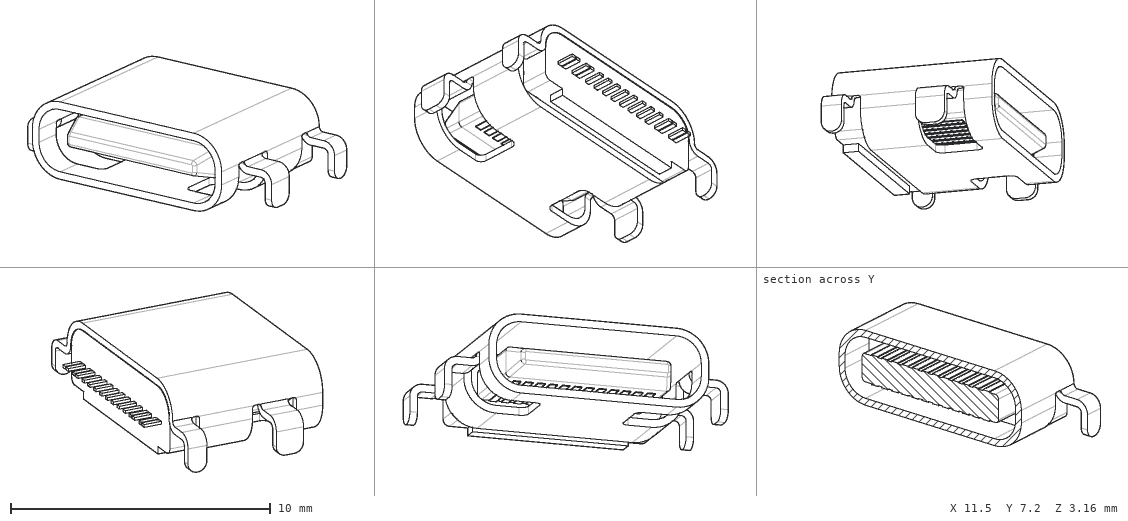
import cadquery as cq


SHELL_WIDTH = 8.94
SHELL_HEIGHT = 3.16
SHELL_DEPTH = 6.5
SHEET = 0.31
SHELL_RADIUS = 1.32
HALF_WIDTH = SHELL_WIDTH / 2
HALF_HEIGHT = SHELL_HEIGHT / 2
INNER_WIDTH = SHELL_WIDTH - 2 * SHEET
INNER_HEIGHT = SHELL_HEIGHT - 2 * SHEET
INNER_RADIUS = SHELL_RADIUS - SHEET

LEG_SPAN = 11.54
LEG_TOP = 0.09
LEG_BOTTOM = -1.45
LEG_END_RADIUS = 0.4
ROOT_BEND = 0.18
KNEE_BEND = 0.2
FRONT_LEG = (1.5, 2.68)
REAR_LEG = (5.68, SHELL_DEPTH)

FRONT_OPENING = (1.14, 3.04)
REAR_OPENING = (5.33, SHELL_DEPTH)
OPENING_TOP = LEG_TOP + ROOT_BEND
SLOT_CORNER_RADIUS = 0.12
FLOOR_STRIP_WIDTH = 3.85
FLOOR_CORNER_RADIUS = 0.29

WALL_FRONT = 4.7
INSERT_BACK = 6.46
REAR_CORNER_RADIUS = 0.27
TONGUE_WIDTH = 6.69
TONGUE_THICKNESS = 1.2
TIP_WIDTH = 6.05
TIP_THICKNESS = 0.55
TONGUE_TIP = 0.24
TAPER_END = 1.29
TONGUE_CORNER_RADIUS = 0.16
TIP_FILLET = 0.15
FOOT_WIDTH = 6.32
FOOT_DEPTH = 0.62

PITCH = 0.5
PAD_COUNT = 12
PAD_WIDTH = 0.3
PAD_FRONT = 1.73
PAD_HEIGHT = 0.03
PIN_WIDTH = 0.21
PIN_THICKNESS = 0.12
PIN_Z = -0.17
PIN_END = 7.2
SINGLE_PINS_PER_SIDE = 4
PAIR_POSITIONS = [2.4, 3.21]
PAIR_SPACING = 0.25

EXTRA = 0.58


def block(x_range, y_range, z_range):
    """Box spanning the given ranges."""
    x0, x1 = x_range
    y0, y1 = y_range
    z0, z1 = z_range
    return cq.Workplane("XY").box(x1 - x0, y1 - y0, z1 - z0, centered=False).translate((x0, y0, z0))


def rounded_bar(width, height, radius, y_range):
    """Bar along Y, centred on the Y axis, with its four long edges rounded."""
    x_range = (-width / 2, width / 2)
    return block(x_range, y_range, (-height / 2, height / 2)).edges("|Y").fillet(radius)


def leg_gap(y_range):
    """Square-cornered cutter right across X, open downward, where a leg was bent out of the wall."""
    reach = HALF_WIDTH + EXTRA
    return block((-reach, reach), y_range, (-HALF_HEIGHT - EXTRA, OPENING_TOP))


def slot(y_range):
    """The same cutter with rounded upper corners, for the clearance beside a leg."""
    return leg_gap(y_range).edges("|X and >Z").fillet(SLOT_CORNER_RADIUS)


def front_opening():
    """Slots on both sides of the front legs, stopping at the strip of floor left in the middle."""
    opening = (
        slot((FRONT_OPENING[0], FRONT_LEG[0]))
        .union(leg_gap(FRONT_LEG))
        .union(slot((FRONT_LEG[1], FRONT_OPENING[1])))
    )
    half_strip = FLOOR_STRIP_WIDTH / 2
    reach = HALF_WIDTH + EXTRA
    z_range = (-HALF_HEIGHT - EXTRA, OPENING_TOP)
    right = block((half_strip, reach), FRONT_OPENING, z_range).edges("|Z and <X").fillet(FLOOR_CORNER_RADIUS)
    return opening.intersect(right.union(right.mirror("YZ")))


def rear_opening():
    """Slot ahead of the rear legs, with floor and side walls removed back to the shell's end."""
    return slot((REAR_OPENING[0], REAR_LEG[0])).union(leg_gap(REAR_LEG))


def right_leg(y_range):
    """Strip leaving the right wall, bent outward and then down, with a rounded end."""
    y0, y1 = y_range
    wall = HALF_WIDTH
    tip = LEG_SPAN / 2
    leg_under = LEG_TOP - SHEET
    root_x = wall + ROOT_BEND
    knee_x = tip - SHEET - KNEE_BEND
    knee_z = leg_under - KNEE_BEND
    root_outer = ROOT_BEND + SHEET
    knee_outer = KNEE_BEND + SHEET
    diagonal = 0.5 ** 0.5
    strip = (
        cq.Workplane("XZ", origin=(0, y1, 0))
        .moveTo(wall, OPENING_TOP)
        .threePointArc((root_x - ROOT_BEND * diagonal, OPENING_TOP - ROOT_BEND * diagonal), (root_x, LEG_TOP))
        .lineTo(knee_x, LEG_TOP)
        .threePointArc((knee_x + knee_outer * diagonal, knee_z + knee_outer * diagonal), (tip, knee_z))
        .lineTo(tip, LEG_BOTTOM)
        .lineTo(tip - SHEET, LEG_BOTTOM)
        .lineTo(tip - SHEET, knee_z)
        .threePointArc((knee_x + KNEE_BEND * diagonal, knee_z + KNEE_BEND * diagonal), (knee_x, leg_under))
        .lineTo(root_x, leg_under)
        .threePointArc(
            (root_x - root_outer * diagonal, OPENING_TOP - root_outer * diagonal), (wall - SHEET, OPENING_TOP)
        )
        .close()
        .extrude(y1 - y0)
    )
    return strip.edges("|X and <Z").fillet(LEG_END_RADIUS)


def make_shell():
    depth = (0, SHELL_DEPTH)
    tube = rounded_bar(SHELL_WIDTH, SHELL_HEIGHT, SHELL_RADIUS, depth)
    tube = tube.cut(rounded_bar(INNER_WIDTH, INNER_HEIGHT, INNER_RADIUS, depth))
    tube = tube.cut(front_opening()).cut(rear_opening())
    for y_range in (FRONT_LEG, REAR_LEG):
        leg = right_leg(y_range)
        tube = tube.union(leg).union(leg.mirror("YZ"))
    return tube


def make_housing():
    """Plug filling the shell's rear, squarer below where the shell is cut away, with a foot under it."""
    plug = rounded_bar(INNER_WIDTH, INNER_HEIGHT, INNER_RADIUS, (WALL_FRONT, INSERT_BACK))
    half_width = INNER_WIDTH / 2
    half_height = INNER_HEIGHT / 2
    lower = block((-half_width, half_width), (REAR_OPENING[0], INSERT_BACK), (-half_height, 0))
    lower = lower.edges("|Y and <Z").fillet(REAR_CORNER_RADIUS)
    foot = block(
        (-FOOT_WIDTH / 2, FOOT_WIDTH / 2), (INSERT_BACK - FOOT_DEPTH, INSERT_BACK), (-HALF_HEIGHT, -half_height)
    )
    return plug.union(lower).union(foot)


def make_tongue():
    """Rounded blade with a tapered, filleted tip."""
    blade = rounded_bar(TONGUE_WIDTH, TONGUE_THICKNESS, TONGUE_CORNER_RADIUS, (TAPER_END, WALL_FRONT))
    root = cq.Sketch().rect(TONGUE_WIDTH, TONGUE_THICKNESS).vertices().fillet(TONGUE_CORNER_RADIUS)
    tip = cq.Sketch().rect(TIP_WIDTH, TIP_THICKNESS).vertices().fillet(TONGUE_CORNER_RADIUS)
    taper_length = TAPER_END - TONGUE_TIP
    taper = (
        cq.Workplane("XZ", origin=(0, TAPER_END, 0))
        .placeSketch(root, tip.moved(cq.Location(cq.Vector(0, 0, taper_length))))
        .loft()
        .faces("<Y")
        .edges()
        .fillet(TIP_FILLET)
    )
    return blade.union(taper)


def contact_pads():
    """Row of pads standing slightly proud of the tongue's upper and lower faces."""
    half_height = TONGUE_THICKNESS / 2 + PAD_HEIGHT
    pads = cq.Workplane("XY")
    for i in range(PAD_COUNT):
        x = (i - (PAD_COUNT - 1) / 2) * PITCH
        x_range = (x - PAD_WIDTH / 2, x + PAD_WIDTH / 2)
        pads = pads.union(block(x_range, (PAD_FRONT, WALL_FRONT), (-half_height, half_height)))
    return pads


def solder_pins():
    """Pins out of the rear: evenly spaced singles in the middle, close pairs toward each side."""
    right_side = [(i + 0.5) * PITCH for i in range(SINGLE_PINS_PER_SIDE)]
    for x in PAIR_POSITIONS:
        right_side += [x - PAIR_SPACING / 2, x + PAIR_SPACING / 2]
    z_range = (PIN_Z - PIN_THICKNESS / 2, PIN_Z + PIN_THICKNESS / 2)
    pins = cq.Workplane("XY")
    for x in right_side:
        for side in (-1, 1):
            x_range = (side * x - PIN_WIDTH / 2, side * x + PIN_WIDTH / 2)
            pins = pins.union(block(x_range, (INSERT_BACK, PIN_END), z_range))
    return pins


def make_insert():
    return make_housing().union(make_tongue()).union(contact_pads()).union(solder_pins())


shell = make_shell().solids()
insert = make_insert().solids()

result = cq.Compound.makeCompound([shell.val(), insert.val()])